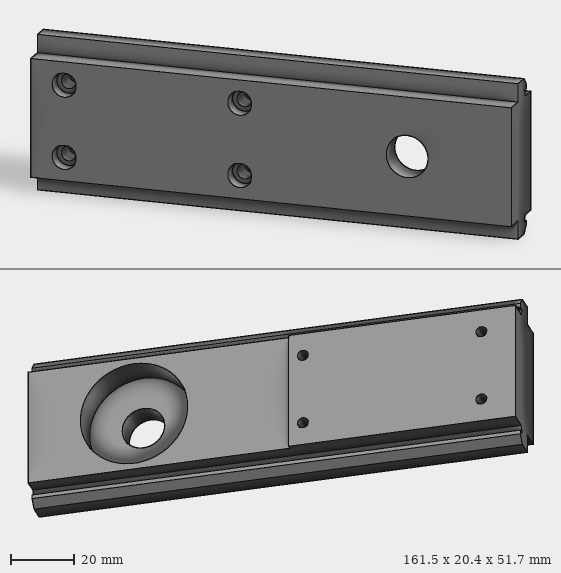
import cadquery as cq

length = 161.5
depth = 20.38
overall_height = 51.7
rail_height = 6.1
body_height = overall_height - 2 * rail_height

rail_front = 6.55
rail_crest_back = 12.4
neck_back = 12.7
rail_root_back = 13.75
hook_tip_back = 14.75

hook_tip_upper_drop = 2.6
hook_tip_lower_drop = 3.9

relief_start = 75.0
relief_depth = 1.38

first_screw_x = 11.25
screw_column_spacing = 59.0
screw_row_spacing = 24.0
screw_head_diameter = 8.0
screw_head_depth = 4.6
screw_shank_diameter = 5.0
screw_shank_depth = 12.0
screw_through_diameter = 3.5

large_hole_x = 126.5
large_hole_diameter = 14.0
recess_diameter = 35.5
recess_depth = 12.0


def make_body():
    """Plain rectangular block, centred on Z = 0."""
    return cq.Workplane("XY").box(length, depth, body_height, centered=(False, False, True))


def make_upper_rail():
    """Upper rail, with a hook that points to the back."""
    crest = overall_height / 2
    root = body_height / 2
    hook_underside = crest - hook_tip_lower_drop
    profile = [
        (rail_front, root),
        (rail_front, crest),
        (rail_crest_back, crest),
        (hook_tip_back, crest - hook_tip_upper_drop),
        (hook_tip_back, hook_underside),
        (neck_back, hook_underside),
        (rail_root_back, root),
    ]
    return cq.Workplane("YZ").polyline(profile).close().extrude(length)


def make_relief():
    """Cutter for the shallow step in the back face."""
    size = (length - relief_start, relief_depth, body_height)
    cutter = cq.Workplane("XY").box(*size, centered=(False, False, True))
    return cutter.translate((relief_start, depth - relief_depth, 0))


def make_bore(x, z, diameter, start_y, end_y):
    """Cylindrical cutter along Y between two Y places."""
    start = cq.Vector(x, start_y, z)
    direction = cq.Vector(0, 1, 0)
    return cq.Workplane(cq.Solid.makeCylinder(diameter / 2, end_y - start_y, start, direction))


def cut_screw_hole(part, x, z):
    """Cut one three-step screw hole."""
    part = part.cut(make_bore(x, z, screw_head_diameter, 0, screw_head_depth))
    part = part.cut(make_bore(x, z, screw_shank_diameter, 0, screw_shank_depth))
    return part.cut(make_bore(x, z, screw_through_diameter, 0, depth))


def cut_large_hole(part):
    """Cut the large through hole and its recess in the back face."""
    part = part.cut(make_bore(large_hole_x, 0, large_hole_diameter, 0, depth))
    return part.cut(make_bore(large_hole_x, 0, recess_diameter, depth - recess_depth, depth))


upper_rail = make_upper_rail()
lower_rail = upper_rail.mirror("XY")
result = make_body().union(upper_rail).union(lower_rail)
result = result.cut(make_relief())

for screw_x in (first_screw_x, first_screw_x + screw_column_spacing):
    for screw_z in (-screw_row_spacing / 2, screw_row_spacing / 2):
        result = cut_screw_hole(result, screw_x, screw_z)

result = cut_large_hole(result)